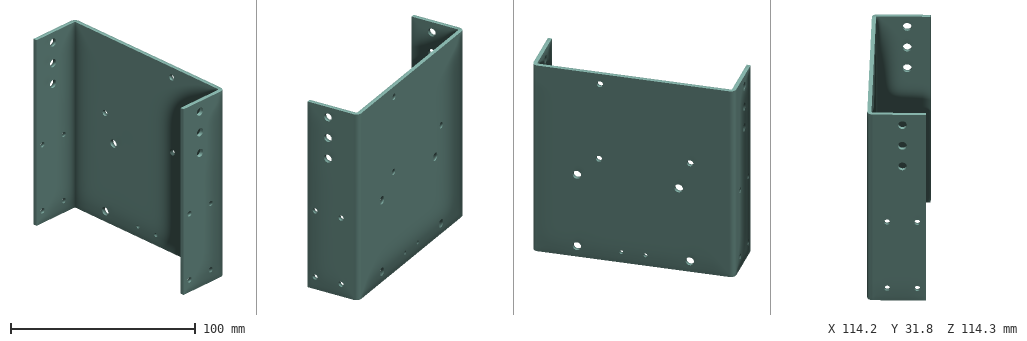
import cadquery as cq

width = 114.15
depth = 31.84
height = 114.3
thickness = 2.286
inner_bend_radius = 0.85
outer_bend_radius = inner_bend_radius + thickness

half_width = width / 2
inner_half_width = half_width - thickness
inner_back_y = depth - thickness

pitch = 12.7
edge_margin = pitch / 2

mount_diameter = 4.76
mount_half_spacing = 2.5 * pitch
mount_upper_left_x = -25.5
mount_upper_z = 50.35
mount_points = [
    (-mount_half_spacing, edge_margin),
    (mount_half_spacing, edge_margin),
    (mount_upper_left_x, mount_upper_z),
    (mount_half_spacing, mount_upper_z),
]

board_diameter = 3.6
board_points = [
    (18.8, height - edge_margin),
    (-31.95, 66.75),
    (19.35, 62.0),
]

pilot_diameter = 2.25
pilot_half_spacing = 6.8
pilot_points = [(side * pilot_half_spacing, edge_margin) for side in (-1, 1)]

flange_row_diameter = mount_diameter
flange_row_count = 3
flange_row_points = [
    (pitch, height - edge_margin - index * pitch) for index in range(flange_row_count)
]

flange_pattern_diameter = 3.1
flange_pattern_y = 4.65
flange_pattern_z = 7.5
flange_pattern_spacing_y = 16.3
flange_pattern_spacing_z = 40.7
flange_pattern_points = [
    (
        flange_pattern_y + column * flange_pattern_spacing_y,
        flange_pattern_z + row * flange_pattern_spacing_z,
    )
    for column in range(2)
    for row in range(2)
]


def channel():
    """U-shaped channel with rounded bends, extruded along Z."""
    outer = (
        cq.Workplane("XY")
        .box(width, depth, height, centered=(True, False, False))
        .edges("|Z and >Y")
        .fillet(outer_bend_radius)
    )
    inner = (
        cq.Workplane("XY")
        .box(2 * inner_half_width, inner_back_y, height, centered=(True, False, False))
        .edges("|Z and >Y")
        .fillet(inner_bend_radius)
    )
    return outer.cut(inner)


def back_holes(points, diameter):
    """Drills along Y that pass through the back plate only."""
    return (
        cq.Workplane("XZ", origin=(0, depth, 0))
        .pushPoints(points)
        .circle(diameter / 2)
        .extrude(thickness)
    )


def flange_holes(points, diameter):
    """Drills along X that pass through both flanges."""
    return (
        cq.Workplane("YZ", origin=(-half_width, 0, 0))
        .pushPoints(points)
        .circle(diameter / 2)
        .extrude(width)
    )


result = (
    channel()
    .cut(back_holes(mount_points, mount_diameter))
    .cut(back_holes(board_points, board_diameter))
    .cut(back_holes(pilot_points, pilot_diameter))
    .cut(flange_holes(flange_row_points, flange_row_diameter))
    .cut(flange_holes(flange_pattern_points, flange_pattern_diameter))
)